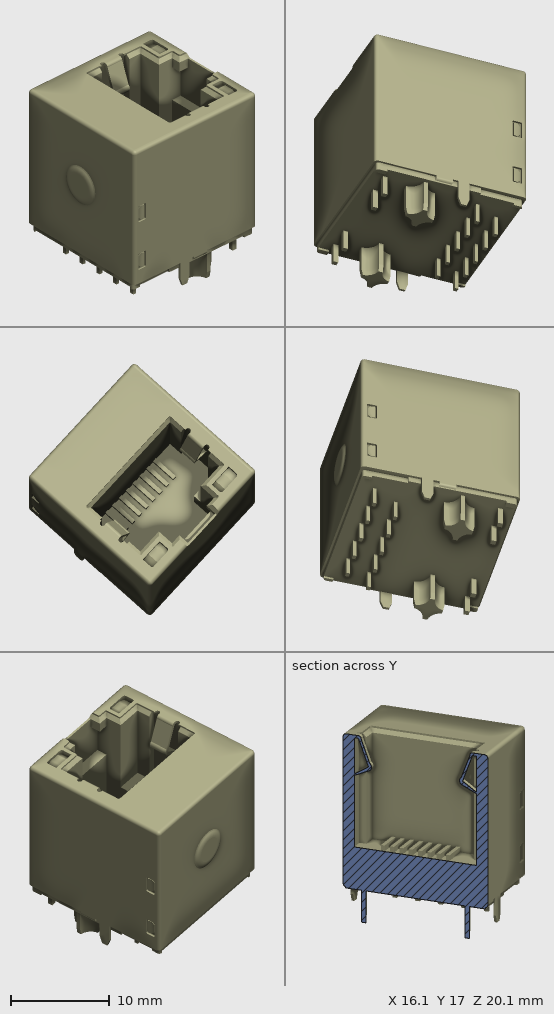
import cadquery as cq
import math


OVERALL_Z = 20.07
SHELL_X = 16.05
SHELL_Y = 16.72
SHELL_Z = 16.0
SHELL_FILLET = 0.4
SIDE_X = SHELL_X / 2
BACK_Y = SHELL_Y / 2
FRONT_Y = -BACK_Y

CAVITY_HALF_X = 5.95
CAVITY_FRONT_Y = -1.57
CAVITY_BACK_Y = 5.15
KEY_HALF_X = 3.15
KEY_BACK_Y = 6.96
LATCH_HALF_X = 2.05
LATCH_BACK_Y = 8.13
MOUTH_CHAMFER = 0.38
SHEET = 0.2
MOUTH_CORNER = 0.16
SHOULDER_THICKNESS = 1.67
LATCH_LEDGE_DEPTH = 5.58
SIDE_LEDGE_DEPTH = 9.03
SIDE_LEDGE_FRONT_Y = 4.21
CAVITY_DEPTH = 12.05

CONTACT_COUNT = 8
CONTACT_PITCH = 1.02
CONTACT_WIDTH = 0.42
CONTACT_LENGTH = 2.75
CONTACT_HEIGHT = 0.6

RECESS_Y = (-0.05, 3.65)
SPRING_Y = (0.72, 2.73)
SPRING_TIP_X = 4.84
SPRING_TIP_DEPTH = 2.8
SPRING_FOOT_DEPTH = 4.42
SPRING_BEND = 0.35
SPRING_TIP_BEND = 0.4
SLOT_END_X = 6.7
SLOT_WIDTH = 0.52

LED_X = 5.2
LED_Y = 6.62
LED_SIZE_X = 2.53
LED_SIZE_Y = 1.28
LED_CORNER = 0.25
LED_POCKET_DEPTH = 0.7
LED_TOP_DEPTH = 0.3
LED_SLOPE_DROP = 0.32
LED_OUTER_SLOPE = 0.82
LED_INNER_SLOPE = 0.58

BUTTON_Z = 8.29
BUTTON_RADIUS = 2.19
BUTTON_RIM_RADIUS = 2.05
BUTTON_FLAT_RADIUS = 1.38
BUTTON_RIM = 0.06
BUTTON_HEIGHT = 0.25

CATCH_Y = -7.27
CATCH_Z = (2.6, 8.33)
CATCH_SIZE_Y = 1.05
CATCH_SIZE_Z = 1.93
CATCH_DEPTH = 0.25
CATCH_CORNER = 0.12
HOOK_BACK_Y = -6.9
HOOK_SIZE_Y = 0.72
HOOK_SIZE_Z = 1.6
HOOK_CREST = 0.2
HOOK_TOE = 0.08
HOOK_CHAMFER = 0.28

BASE_HEIGHT = 0.65
BASE_SIDE_X = 7.79
BASE_NARROW_X = 7.55
BASE_END_Y = 8.09
BASE_STEP_Y = -3.35
BASE_FILLET = 0.28
FOOT_HEIGHT = 0.88
FOOT_INNER_X = 7.2
BACK_FOOT_Y = 6.9
FRONT_FOOT_Y = -7.1

CURL_Y = (-0.18, 1.63)
CURL_INNER_X = 7.55
CURL_HEIGHT = 0.5
CURL_RADIUS = 0.36

POST_X = 5.72
POST_Y = 2.49
POST_HALF_WIDTH = 1.6
POST_LENGTH = OVERALL_Z - SHELL_Z
POST_TAPER_LENGTH = 0.8
POST_TIP_HALF_WIDTH = 1.45
POST_ARM_WIDTH = 0.46

TAB_THICKNESS = 0.28
TAB_Y = -1.4
TAB_WIDTH = 1.22
TAB_TIP_WIDTH = 0.62
TAB_SHOULDER_Z = -1.99
PIN_END_Z = -2.8

SIGNAL_COUNT = 10
SIGNAL_PITCH = 1.26
SIGNAL_SIZE_X = 0.48
SIGNAL_SIZE_Y = 0.38
SIGNAL_ROWS_Y = (-3.83, -6.38)
LED_PIN_X = (3.81, 6.35)
LED_PIN_Y = 6.65
LED_PIN_SIZE = 0.52


def box(x_range, y_range, z_range):
    """Box between pairs of limits, given in ascending order."""
    size = [limits[1] - limits[0] for limits in (x_range, y_range, z_range)]
    corner = (x_range[0], y_range[0], z_range[0])
    return cq.Workplane("XY").box(*size, centered=False).translate(corner)


def mirrored(body):
    """A body together with its mirror image on the other side of X = 0."""
    return body.union(body.mirror("YZ"))


def sunk(half_x, y_range, top_depth, bottom_depth):
    """Box centred on X = 0 between two depths below the top face."""
    return box((-half_x, half_x), y_range, (SHELL_Z - bottom_depth, SHELL_Z - top_depth))


def shell():
    block = cq.Workplane("XY").box(SHELL_X, SHELL_Y, SHELL_Z, centered=(True, True, False))
    return block.edges("|Z or >Z").fillet(SHELL_FILLET)


def mouth_step(half_x, back_y):
    """Bevel around one step of the opening, just under the sheet metal."""
    centre_y = (back_y + CAVITY_FRONT_Y) / 2
    length_y = back_y - CAVITY_FRONT_Y
    return (
        cq.Workplane("XY", origin=(0, centre_y, SHELL_Z - SHEET))
        .rect(2 * (half_x + MOUTH_CHAMFER), length_y + 2 * MOUTH_CHAMFER)
        .workplane(offset=-MOUTH_CHAMFER)
        .rect(2 * half_x, length_y)
        .loft(ruled=True)
    )


def mouth():
    """Opening through the sheet metal, with a bevelled rim in the plastic below it."""
    opening = cq.Workplane("XY")
    bevel = cq.Workplane("XY")
    front = CAVITY_FRONT_Y - MOUTH_CHAMFER
    for half_x, back_y in (
        (CAVITY_HALF_X, CAVITY_BACK_Y),
        (KEY_HALF_X, KEY_BACK_Y),
        (LATCH_HALF_X, BACK_Y),
    ):
        step_y = (front, back_y + MOUTH_CHAMFER)
        opening = opening.union(sunk(half_x + MOUTH_CHAMFER, step_y, 0, SHEET))
        bevel = bevel.union(mouth_step(half_x, back_y))
    return opening.edges("|Z").fillet(MOUTH_CORNER).union(bevel)


def cavity():
    front = CAVITY_FRONT_Y
    main = sunk(CAVITY_HALF_X, (front, SIDE_LEDGE_FRONT_Y), 0, CAVITY_DEPTH)
    side_ledges = sunk(CAVITY_HALF_X, (front, CAVITY_BACK_Y), 0, SIDE_LEDGE_DEPTH)
    key = sunk(KEY_HALF_X, (front, KEY_BACK_Y), 0, CAVITY_DEPTH)
    latch = sunk(LATCH_HALF_X, (front, LATCH_BACK_Y), 0, LATCH_LEDGE_DEPTH)
    undercut = sunk(KEY_HALF_X, (front, LATCH_BACK_Y), SHOULDER_THICKNESS, LATCH_LEDGE_DEPTH)
    return main.union(side_ledges).union(key).union(latch).union(undercut)


def contacts():
    floor_z = SHELL_Z - CAVITY_DEPTH
    body = cq.Workplane("XY")
    for index in range(CONTACT_COUNT):
        x = (index - (CONTACT_COUNT - 1) / 2) * CONTACT_PITCH
        body = body.union(
            box(
                (x - CONTACT_WIDTH / 2, x + CONTACT_WIDTH / 2),
                (CAVITY_FRONT_Y, CAVITY_FRONT_Y + CONTACT_LENGTH),
                (floor_z, floor_z + CONTACT_HEIGHT),
            )
        )
    return body


def spring_recess():
    """Recess under the sheet metal, and a round-ended slot along each spring edge."""
    body = sunk(SLOT_END_X, RECESS_Y, SHEET, CAVITY_DEPTH)
    for y in (SPRING_Y[0] - SLOT_WIDTH / 2, SPRING_Y[1] + SLOT_WIDTH / 2):
        slot = (
            cq.Workplane("XY", origin=(0, y, SHELL_Z))
            .slot2D(2 * SLOT_END_X, SLOT_WIDTH)
            .extrude(-SHEET)
        )
        body = body.union(slot)
    return body


def springs():
    """Sheets bent down from the top face, leaning in and curling back to the wall."""
    root_x = CAVITY_HALF_X + MOUTH_CHAMFER
    wall_x = SLOT_END_X + SHEET / 2
    tip_z = SHELL_Z - SPRING_TIP_DEPTH
    foot_z = SHELL_Z - SPRING_FOOT_DEPTH
    bend_middle = (
        root_x - SPRING_BEND * math.sin(math.pi / 4),
        SHELL_Z - SPRING_BEND * (1 - math.cos(math.pi / 4)),
    )
    sheet = (
        cq.Workplane("XZ", origin=(0, SPRING_Y[1], 0))
        .moveTo(wall_x, SHELL_Z)
        .lineTo(root_x, SHELL_Z)
        .threePointArc(bend_middle, (root_x - SPRING_BEND, SHELL_Z - SPRING_BEND))
        .lineTo(SPRING_TIP_X + SPRING_TIP_BEND / 2, tip_z)
        .threePointArc(
            (SPRING_TIP_X, tip_z - SPRING_TIP_BEND),
            (SPRING_TIP_X + SPRING_TIP_BEND / 2, tip_z - 2 * SPRING_TIP_BEND),
        )
        .lineTo(wall_x, foot_z)
        .lineTo(wall_x, foot_z + SHEET)
        .lineTo(SPRING_TIP_X + SPRING_TIP_BEND, tip_z - SPRING_TIP_BEND)
        .lineTo(root_x, SHELL_Z - SPRING_BEND)
        .lineTo(wall_x, SHELL_Z - SPRING_BEND)
        .close()
        .extrude(SPRING_Y[1] - SPRING_Y[0])
    )
    return mirrored(sheet)


def led_windows():
    """Window pockets, less the flat-topped light with two sloping ends."""
    inner_x = LED_X - LED_SIZE_X / 2
    outer_x = LED_X + LED_SIZE_X / 2
    top_z = SHELL_Z - LED_TOP_DEPTH
    bottom_z = SHELL_Z - LED_POCKET_DEPTH
    pocket = (
        cq.Workplane("XY", origin=(LED_X, LED_Y, bottom_z))
        .rect(LED_SIZE_X, LED_SIZE_Y)
        .extrude(LED_POCKET_DEPTH)
        .edges("|Z and >Y")
        .fillet(LED_CORNER)
    )
    light = (
        cq.Workplane("XZ", origin=(0, LED_Y, 0))
        .moveTo(inner_x, bottom_z)
        .lineTo(inner_x, top_z - LED_SLOPE_DROP)
        .lineTo(inner_x + LED_INNER_SLOPE, top_z)
        .lineTo(outer_x - LED_OUTER_SLOPE, top_z)
        .lineTo(outer_x, top_z - LED_SLOPE_DROP)
        .lineTo(outer_x, bottom_z)
        .close()
        .extrude(LED_SIZE_Y / 2, both=True)
    )
    return mirrored(pocket.cut(light))


def button():
    """Low round button with a short bevelled rim and a shoulder arc tangent to its flat."""
    run = BUTTON_RIM_RADIUS - BUTTON_FLAT_RADIUS
    rise = BUTTON_HEIGHT - BUTTON_RIM
    arc_radius = (run**2 + rise**2) / (2 * rise)
    half_angle = math.asin(run / arc_radius) / 2
    middle = (
        BUTTON_FLAT_RADIUS + arc_radius * math.sin(half_angle),
        BUTTON_HEIGHT - arc_radius * (1 - math.cos(half_angle)),
    )
    return (
        cq.Workplane("XY")
        .lineTo(BUTTON_RADIUS, 0)
        .lineTo(BUTTON_RIM_RADIUS, BUTTON_RIM)
        .threePointArc(middle, (BUTTON_FLAT_RADIUS, BUTTON_HEIGHT))
        .lineTo(0, BUTTON_HEIGHT)
        .close()
        .revolve(360, (0, 0, 0), (0, 1, 0))
        .mirror("XZ")
        .translate((0, FRONT_Y, BUTTON_Z))
    )


def catch_windows():
    """Shallow side windows, less the wedge-shaped hook that shows inside each."""
    floor_x = SIDE_X - CATCH_DEPTH
    toe_y = HOOK_BACK_Y - HOOK_SIZE_Y
    body = cq.Workplane("XY")
    for z in CATCH_Z:
        window = (
            cq.Workplane("YZ", origin=(floor_x, CATCH_Y, z))
            .rect(CATCH_SIZE_Y, CATCH_SIZE_Z)
            .extrude(CATCH_DEPTH)
            .edges("|X")
            .fillet(CATCH_CORNER)
        )
        hook = (
            cq.Workplane("XY", origin=(0, 0, z))
            .moveTo(floor_x, HOOK_BACK_Y)
            .lineTo(floor_x + HOOK_CREST, HOOK_BACK_Y)
            .lineTo(floor_x + HOOK_TOE, toe_y)
            .lineTo(floor_x, toe_y)
            .close()
            .extrude(HOOK_SIZE_Z / 2, both=True)
            .edges("|X and <Y")
            .chamfer(HOOK_CHAMFER)
        )
        body = body.union(window.cut(hook))
    return mirrored(body)


def base():
    """Base plate, narrower towards the front, with a foot at each corner."""
    def plan(bottom_z):
        z_range = (bottom_z, 0)
        narrow = box((-BASE_NARROW_X, BASE_NARROW_X), (-BASE_END_Y, BASE_STEP_Y), z_range)
        wide = box((-BASE_SIDE_X, BASE_SIDE_X), (BASE_STEP_Y, BASE_END_Y), z_range)
        narrow = narrow.edges("|Z and <Y").fillet(BASE_FILLET)
        wide = wide.edges("|Z and >Y").fillet(BASE_FILLET)
        return narrow.union(wide)

    foot_x = (FOOT_INNER_X, SIDE_X)
    back_foot = box(foot_x, (BACK_FOOT_Y, BACK_Y), (-FOOT_HEIGHT, 0))
    front_foot = box(foot_x, (FRONT_Y, FRONT_FOOT_Y), (-FOOT_HEIGHT, 0))
    feet = plan(-FOOT_HEIGHT).intersect(mirrored(back_foot.union(front_foot)))
    return plan(-BASE_HEIGHT).union(feet)


def curled_lips():
    lip = box((CURL_INNER_X, SIDE_X), CURL_Y, (-CURL_HEIGHT, 0))
    return mirrored(lip.edges("|Y and >X and <Z").fillet(CURL_RADIUS))


def posts():
    """Square posts with tapered ends, fluted at the corners to leave four arms."""
    straight_length = POST_LENGTH - POST_TAPER_LENGTH
    shaft = cq.Workplane("XY").rect(2 * POST_HALF_WIDTH, 2 * POST_HALF_WIDTH).extrude(-straight_length)
    tip = (
        cq.Workplane("XY", origin=(0, 0, -straight_length))
        .rect(2 * POST_HALF_WIDTH, 2 * POST_HALF_WIDTH)
        .workplane(offset=-POST_TAPER_LENGTH)
        .rect(2 * POST_TIP_HALF_WIDTH, 2 * POST_TIP_HALF_WIDTH)
        .loft(ruled=True)
    )
    flutes = (
        cq.Workplane("XY")
        .rect(2 * POST_HALF_WIDTH, 2 * POST_HALF_WIDTH, forConstruction=True)
        .vertices()
        .circle(POST_HALF_WIDTH - POST_ARM_WIDTH / 2)
        .extrude(-POST_LENGTH)
    )
    post = shaft.union(tip).cut(flutes)
    return mirrored(post.translate((POST_X, POST_Y, 0)))


def shield_tabs():
    tab = (
        cq.Workplane("YZ", origin=(SIDE_X - TAB_THICKNESS, TAB_Y, 0))
        .moveTo(-TAB_WIDTH / 2, 0)
        .lineTo(-TAB_WIDTH / 2, TAB_SHOULDER_Z)
        .lineTo(-TAB_TIP_WIDTH / 2, PIN_END_Z)
        .lineTo(TAB_TIP_WIDTH / 2, PIN_END_Z)
        .lineTo(TAB_WIDTH / 2, TAB_SHOULDER_Z)
        .lineTo(TAB_WIDTH / 2, 0)
        .close()
        .extrude(TAB_THICKNESS)
    )
    return mirrored(tab)


def pin(x, y, size_x, size_y):
    return cq.Workplane("XY", origin=(x, y, 0)).rect(size_x, size_y).extrude(PIN_END_Z)


def solder_pins():
    """Ten signal pins in two staggered rows and four indicator pins."""
    body = cq.Workplane("XY")
    for index in range(SIGNAL_COUNT):
        x = (index - (SIGNAL_COUNT - 1) / 2) * SIGNAL_PITCH
        body = body.union(pin(x, SIGNAL_ROWS_Y[index % 2], SIGNAL_SIZE_X, SIGNAL_SIZE_Y))
    for x in LED_PIN_X:
        body = body.union(mirrored(pin(x, LED_PIN_Y, LED_PIN_SIZE, LED_PIN_SIZE)))
    return body


result = shell()
for pocket in (mouth(), cavity(), spring_recess(), led_windows(), catch_windows()):
    result = result.cut(pocket)
for feature in (contacts(), springs(), button()):
    result = result.union(feature)
for feature in (base(), curled_lips(), posts(), shield_tabs(), solder_pins()):
    result = result.union(feature)